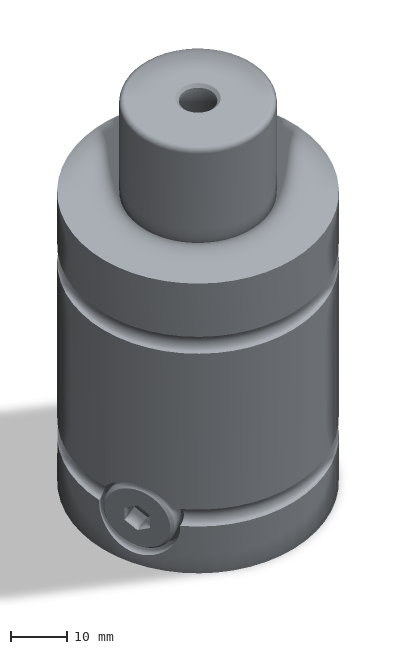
import cadquery as cq
import math

total_height = 90.0
body_diameter = 50.0
body_height = 68.0
rod_diameter = 28.0
rod_edge_radius = 1.0

groove_radius = 2.0
groove_heights = (13.0, 53.55)

hole_diameter = 6.8
hole_mouth_diameter = 8.0
hole_depth = 15.0
drill_point_angle = 118.0

plug_height = 10.5
counterbore_diameter = 16.0
counterbore_depth = 4.0
plug_diameter = 14.0
plug_recess = 0.45
plug_chamfer = 0.5
socket_across_flats = 5.0
socket_depth = 4.0

body_radius = body_diameter / 2


def make_body():
    body = cq.Workplane("XY").circle(body_radius).extrude(body_height)
    rod = cq.Workplane("XY").circle(rod_diameter / 2).extrude(total_height)
    rod = rod.faces(">Z").edges().fillet(rod_edge_radius)
    return body.union(rod)


def make_groove(height):
    section = cq.Workplane("XZ").center(body_radius, height).circle(groove_radius)
    return section.revolve(360, (-body_radius, 0), (-body_radius, 1))


def make_rod_hole():
    """Drilled hole with a conical bottom and a 45 degree countersunk mouth."""
    radius = hole_diameter / 2
    mouth_radius = hole_mouth_diameter / 2
    bottom = total_height - hole_depth
    point_length = radius / math.tan(math.radians(drill_point_angle / 2))
    profile = (
        cq.Workplane("XZ")
        .moveTo(0, total_height)
        .lineTo(mouth_radius, total_height)
        .lineTo(radius, total_height - (mouth_radius - radius))
        .lineTo(radius, bottom)
        .lineTo(0, bottom - point_length)
        .close()
    )
    return profile.revolve(360, (0, 0), (0, 1))


def side_plane(depth):
    """Sketch plane facing -Y on the plug axis, at a depth below the body surface."""
    return cq.Workplane("XZ", origin=(0, depth - body_radius, plug_height))


def make_plug():
    plug_length = counterbore_depth - plug_recess
    plug = side_plane(counterbore_depth).circle(plug_diameter / 2).extrude(plug_length)
    return plug.faces("<Y").edges().chamfer(plug_chamfer)


def make_socket():
    """Hexagonal key socket with its corners pointing up and down."""
    hexagon = side_plane(plug_recess).polygon(6, socket_across_flats, circumscribed=True)
    return hexagon.extrude(-socket_depth)


result = make_body().cut(make_rod_hole())
for groove_height in groove_heights:
    result = result.cut(make_groove(groove_height))

counterbore = side_plane(counterbore_depth).circle(counterbore_diameter / 2).extrude(counterbore_depth)
result = result.cut(counterbore).union(make_plug()).cut(make_socket())